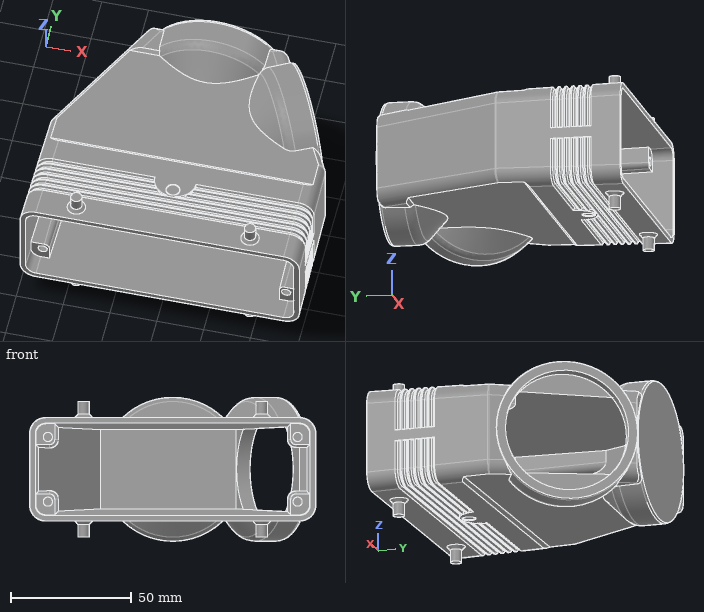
import cadquery as cq
import math


HALF_WIDTH = 59.6
HALF_THICKNESS = 21.6
BODY_HEIGHT = 108.9
DRAFT = math.tan(math.radians(1.0))
SLOPE_ANGLE = math.radians(27.0)
TOP_HALF_WIDTH = 30.3
EDGE_RADIUS = 6.7
SHOULDER_RADIUS = 1.2
END_RADIUS = 2.4

RECESS_START = 39.8
RECESS_END = 96.3
RECESS_DEPTH = 1.2
RECESS_RAMP = 1.7

GROOVE_COUNT = 6
GROOVE_START = 12.2
GRIP_LENGTH = 17.8
GROOVE_PITCH = GRIP_LENGTH / GROOVE_COUNT
GROOVE_DEPTH = 1.1
RIB_CREST = 0.5
GROOVE_FLOOR = 1.0
SIDE_GAP = 4.6
PAD_RADIUS = 8.8
DIMPLE_RADIUS = 2.9
DIMPLE_DEPTH = 0.5
DIMPLE_Y = 24.8

COLLAR_DIAMETER = 60.0
COLLAR_RADIUS = COLLAR_DIAMETER / 2
COLLAR_PROTRUSION = 0.4
COLLAR_LENGTH = 13.2
COLLAR_BLEND = 6.0
COLLAR_TIP_RADIUS = 16.7
RIM_RADIAL = 0.4
RIM_AXIAL = 1.1
SIDE_COLLAR_OFFSET = 29.5
CABLE_HOLE_RADIUS = 25.9

RIM_WALL = 2.4
CAVITY_TAPER = 1.5
CAVITY_CORNER = 4.4
END_WALL = 5.5
LEFT_SLOPE_WALL = 2.7
RIGHT_SLOPE_WALL = 6.0
LEDGE_Y = 51.5

BOSS_FACE_Y = 8.8
BOSS_LENGTH = 65.6
BOSS_INNER_X = 49.1
BOSS_INNER_Z = 10.3
BOSS_CORNER = 2.1
BOSS_TAPER = 1.5
SCREW_X = 52.0
SCREW_Z = 13.5
SCREW_RADIUS = 1.9
SCREW_DEPTH = 11.9

PIN_X = 37.1
PIN_Y = 6.5
PIN_RADIUS = 2.4
PIN_TIP_Z = 28.3
PIN_FOOT_RADIUS = 4.0
PIN_FOOT_TOP_Z = 23.0
PIN_FOOT_Z = 21.2

SIDES = (-1, 1)
QUADRANTS = [(sx, sz) for sx in SIDES for sz in SIDES]
SLOPE = math.tan(SLOPE_ANGLE)
SLOPE_FOOT_X = TOP_HALF_WIDTH + BODY_HEIGHT * SLOPE
KINK_Y = (SLOPE_FOOT_X - HALF_WIDTH) / (SLOPE - DRAFT)


def half_width(y):
    return HALF_WIDTH - y * DRAFT


def half_thickness(y):
    return HALF_THICKNESS - y * DRAFT


def plan_prism(points, half_depth):
    """Closed outline in the XY plane, extruded both ways along Z."""
    return cq.Workplane("XY").polyline(points).close().extrude(half_depth, both=True)


def section(y):
    """Workplane across the hood at height y: local x is X, local y is -Z, extrusion runs to +Y."""
    return cq.Workplane(cq.Plane((0, y, 0), xDir=(1, 0, 0), normal=(0, 1, 0)))


def outer_body():
    """Drafted block with sloping sides, rounded along its length and at its far end."""
    kink_x = half_width(KINK_Y)
    plan = plan_prism(
        [
            (-HALF_WIDTH, 0),
            (HALF_WIDTH, 0),
            (kink_x, KINK_Y),
            (TOP_HALF_WIDTH, BODY_HEIGHT),
            (-TOP_HALF_WIDTH, BODY_HEIGHT),
            (-kink_x, KINK_Y),
        ],
        2 * HALF_THICKNESS,
    )
    end_z = half_thickness(BODY_HEIGHT)
    profile = (
        cq.Workplane("YZ")
        .polyline([(0, -HALF_THICKNESS), (0, HALF_THICKNESS), (BODY_HEIGHT, end_z), (BODY_HEIGHT, -end_z)])
        .close()
        .extrude(2 * HALF_WIDTH, both=True)
    )
    body = plan.intersect(profile)
    body = body.faces(">Z or <Z").edges("not |X").fillet(EDGE_RADIUS)
    shoulder_near = (-2 * HALF_WIDTH, KINK_Y - EDGE_RADIUS, -2 * HALF_THICKNESS)
    shoulder_far = (2 * HALF_WIDTH, KINK_Y + EDGE_RADIUS, 2 * HALF_THICKNESS)
    shoulder = cq.selectors.BoxSelector(shoulder_near, shoulder_far, boundingbox=True)
    body = body.edges(shoulder).fillet(SHOULDER_RADIUS)
    rounded_end = profile.edges("|X").edges(">Y").fillet(END_RADIUS)
    return body.intersect(rounded_end)


def face_recess():
    """Recess cutter for the +Z face, its floor parallel to the drafted face."""
    floor_start = RECESS_START + RECESS_RAMP
    floor_end = RECESS_END - RECESS_RAMP
    return (
        cq.Workplane("YZ")
        .polyline(
            [
                (RECESS_START, half_thickness(RECESS_START)),
                (floor_start, half_thickness(floor_start) - RECESS_DEPTH),
                (floor_end, half_thickness(floor_end) - RECESS_DEPTH),
                (RECESS_END, half_thickness(RECESS_END)),
                (RECESS_END, HALF_THICKNESS),
                (RECESS_START, HALF_THICKNESS),
            ]
        )
        .close()
        .extrude(2 * HALF_WIDTH, both=True)
    )


def groove_ring(y):
    """Trapezoidal ring groove between two rib crests, starting at height y."""
    flank = (GROOVE_PITCH - RIB_CREST - GROOVE_FLOOR) / 2
    flank_taper = math.degrees(math.atan(GROOVE_DEPTH / flank))
    start = y + RIB_CREST / 2
    end = start + 2 * flank + GROOVE_FLOOR
    width = 2 * half_width(y + GROOVE_PITCH / 2)
    thickness = 2 * half_thickness(y + GROOVE_PITCH / 2)

    def outline(at_y, inset):
        return (
            section(at_y)
            .sketch()
            .rect(width - 2 * inset, thickness - 2 * inset)
            .vertices()
            .fillet(EDGE_RADIUS - inset)
            .finalize()
        )

    core = outline(start, 0).extrude(flank, taper=flank_taper)
    core = core.union(outline(start + flank, GROOVE_DEPTH).extrude(GROOVE_FLOOR))
    core = core.union(outline(end, 0).extrude(-flank, taper=flank_taper))
    slab = section(start).rect(3 * HALF_WIDTH, 3 * HALF_THICKNESS).extrude(end - start)
    return slab.cut(core)


def grip_grooves():
    """All groove rings, interrupted on the narrow sides and by a smooth pad on each large face."""
    grooves = cq.Workplane()
    for i in range(GROOVE_COUNT):
        grooves.add(groove_ring(GROOVE_START + i * GROOVE_PITCH).vals())
    grooves = grooves.combine()
    side_gap = cq.Workplane().box(4 * HALF_WIDTH, 2 * BODY_HEIGHT, SIDE_GAP)
    pad_outline = cq.Workplane().center(0, GROOVE_START + GRIP_LENGTH).circle(PAD_RADIUS)
    pads = pad_outline.extrude(2 * HALF_THICKNESS, both=True)
    return grooves.cut(side_gap).cut(pads)


def dimple():
    """Shallow round mark in the pad of the +Z face."""
    floor_z = half_thickness(DIMPLE_Y) - DIMPLE_DEPTH
    floor = cq.Workplane(origin=(0, DIMPLE_Y, floor_z)).circle(DIMPLE_RADIUS)
    return floor.extrude(2 * DIMPLE_DEPTH)


def collar(center, direction):
    """Collar with its face centred on `center` and looking along `direction`, closing inward as a cone."""
    tip_depth = COLLAR_LENGTH + COLLAR_RADIUS - COLLAR_TIP_RADIUS
    axis_plane = cq.Plane(center, xDir=(0, 0, 1), normal=cq.Vector(*direction).cross(cq.Vector(0, 0, 1)))
    half_profile = (
        cq.Workplane(axis_plane)
        .polyline(
            [
                (0, 0),
                (COLLAR_RADIUS - RIM_RADIAL, 0),
                (COLLAR_RADIUS, RIM_AXIAL),
                (COLLAR_RADIUS, COLLAR_LENGTH),
                (COLLAR_TIP_RADIUS, tip_depth),
                (0, tip_depth),
            ]
        )
        .close()
    )
    solid = half_profile.revolve(360, (0, 0), (0, 1))
    corner = cq.selectors.RadiusNthSelector(-1)
    inward = cq.selectors.DirectionMinMaxSelector(cq.Vector(*direction), False)
    corner_circle = solid.edges("%CIRCLE").edges(corner).edges(inward)
    return corner_circle.fillet(COLLAR_BLEND)


def cavity():
    """Drafted hollow, narrowed by the sloping walls and by a ledge inside the thick right wall."""
    hollow = (
        section(0)
        .sketch()
        .rect(2 * (HALF_WIDTH - RIM_WALL), 2 * (HALF_THICKNESS - RIM_WALL))
        .vertices()
        .fillet(CAVITY_CORNER)
        .finalize()
        .extrude(BODY_HEIGHT - END_WALL, taper=CAVITY_TAPER)
    )
    left_foot = -SLOPE_FOOT_X + LEFT_SLOPE_WALL / math.cos(SLOPE_ANGLE)
    right_foot = SLOPE_FOOT_X - RIGHT_SLOPE_WALL / math.cos(SLOPE_ANGLE)
    bounds = plan_prism(
        [
            (left_foot, 0),
            (HALF_WIDTH, 0),
            (HALF_WIDTH, LEDGE_Y),
            (right_foot - LEDGE_Y * SLOPE, LEDGE_Y),
            (right_foot - BODY_HEIGHT * SLOPE, BODY_HEIGHT),
            (left_foot + BODY_HEIGHT * SLOPE, BODY_HEIGHT),
        ],
        HALF_THICKNESS,
    )
    return hollow.intersect(bounds)


def screw_boss(sx, sz):
    """Tapered corner boss, thickening away from the mouth; its outer part lies inside the walls."""
    width = HALF_WIDTH - BOSS_INNER_X
    depth = HALF_THICKNESS - BOSS_INNER_Z
    mid_x = sx * (BOSS_INNER_X + width / 2)
    mid_z = sz * (BOSS_INNER_Z + depth / 2)
    return (
        section(BOSS_FACE_Y)
        .center(mid_x, -mid_z)
        .sketch()
        .rect(width, depth)
        .vertices()
        .fillet(BOSS_CORNER)
        .finalize()
        .extrude(BOSS_LENGTH, taper=-BOSS_TAPER)
    )


def locking_pin():
    """Pin standing on a conical foot on the +Z face."""
    return (
        cq.Workplane("XZ", origin=(0, PIN_Y, 0))
        .polyline(
            [
                (0, PIN_FOOT_Z),
                (PIN_FOOT_RADIUS, PIN_FOOT_Z),
                (PIN_RADIUS, PIN_FOOT_TOP_Z),
                (PIN_RADIUS, PIN_TIP_Z),
                (0, PIN_TIP_Z),
            ]
        )
        .close()
        .revolve(360, (0, 0), (0, 1))
    )


hood = outer_body()
for recess in (face_recess(), face_recess().mirror("XY")):
    hood = hood.cut(recess)
hood = hood.cut(grip_grooves())
for mark in (dimple(), dimple().mirror("XY")):
    hood = hood.cut(mark)

slope_normal = (math.cos(SLOPE_ANGLE), math.sin(SLOPE_ANGLE), 0)
side_center = (
    TOP_HALF_WIDTH + SIDE_COLLAR_OFFSET * math.sin(SLOPE_ANGLE) + COLLAR_PROTRUSION * slope_normal[0],
    BODY_HEIGHT - SIDE_COLLAR_OFFSET * math.cos(SLOPE_ANGLE) + COLLAR_PROTRUSION * slope_normal[1],
    0,
)
hood = hood.union(collar((0, BODY_HEIGHT + COLLAR_PROTRUSION, 0), (0, 1, 0)))
hood = hood.union(collar(side_center, slope_normal))

hollow = cavity()
for sx, sz in QUADRANTS:
    hollow = hollow.cut(screw_boss(sx, sz))
hood = hood.cut(hollow)

hole_plane = cq.Plane(side_center, xDir=(0, 0, 1), normal=slope_normal)
cable_hole = cq.Workplane(hole_plane).circle(CABLE_HOLE_RADIUS).extrude(-RIGHT_SLOPE_WALL - COLLAR_PROTRUSION)
hood = hood.cut(cable_hole)

for sx, sz in QUADRANTS:
    hole = section(BOSS_FACE_Y).center(sx * SCREW_X, -sz * SCREW_Z).circle(SCREW_RADIUS).extrude(SCREW_DEPTH)
    hood = hood.cut(hole)
    pin = locking_pin() if sz > 0 else locking_pin().mirror("XY")
    hood = hood.union(pin.translate((sx * PIN_X, 0, 0)))

result = hood